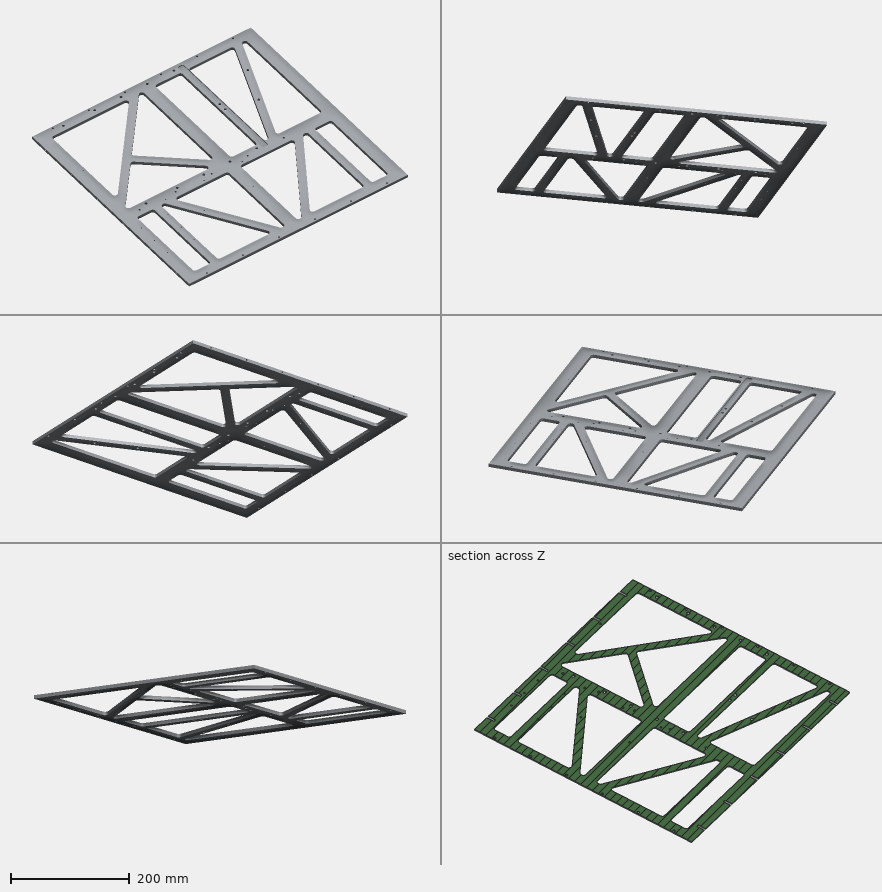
import cadquery as cq
import math

LENGTH_X = 448.0
LENGTH_Y = 455.0
THICKNESS = 6.0
TOP_Z = THICKNESS / 2

SIDE_RAIL = 20.0
END_RAIL = 25.0
SPINE_WIDTH = 25.0
SPINE_X = 27.0
CROSS_RAIL = 25.0
BAR_WIDTH = 15.0
WINDOW_FILLET = 5.0

BAY_LEFT = -LENGTH_X / 2 + SIDE_RAIL
BAY_RIGHT = LENGTH_X / 2 - SIDE_RAIL
BAY_TOP = LENGTH_Y / 2 - END_RAIL
BAY_BOTTOM = -BAY_TOP
SPINE_LEFT = SPINE_X - SPINE_WIDTH / 2
SPINE_RIGHT = SPINE_X + SPINE_WIDTH / 2
CROSS_EDGE = CROSS_RAIL / 2

SLIT_HEIGHT = 35.0
SLIT_EDGE = BAY_TOP - SLIT_HEIGHT
RIGHT_BAY_EDGE = SLIT_EDGE - BAR_WIDTH

GROOVED_BAR_TOP = 82.5
GROOVED_BAR_BOTTOM = GROOVED_BAR_TOP - BAR_WIDTH

STRUT_END_GAP = 8.5
LOWER_STRUT_SLOPE = 0.865
LOWER_STRUT_START_Y = -29.8

GROOVE_LEFT = -218.0
GROOVE_RIGHT = 26.0
GROOVE_TOP = 82.0
GROOVE_WIDTH = 12.0
GROOVE_DEPTH = 2.0
GROOVE_FILLET = 3.0

RAIL_HOLE_DIAMETER = 3.6
RAIL_HOLE_PITCH = 75.0
RAIL_HOLE_COUNT = 6
RAIL_HOLE_INSET = 4.0
SPINE_RAIL_HOLE_X = 27.5

MOUNT_HOLE_DIAMETER = 4.8
MOUNT_HOLE_XS = (-214.5, 21.5)
MOUNT_HOLE_YS = (60.5, 5.0, -49.5, -104.5, -169.5)
STRUT_HOLES = ((-73.0, 133.7), (-142.5, 161.7))
GROOVE_HOLE_XS = (-104.2, -88.5)
GROOVE_HOLE_Y = 75.6

SMALL_HOLE_DIAMETER = 2.5
SMALL_HOLES = ((93.5, 1.0), (93.5, -101.0), (33.5, 22.0), (33.5, -57.5), (33.5, -137.5))

PIN_HOLE_DIAMETER = 2.05
PIN_HOLE_XS = (65.5, 103.5, 140.5)
PIN_HOLE_YS = (-156.0, -211.5)
LONE_PIN_HOLE = (-106.0, -207.7)

EDGE_HOLE_DIAMETER = 3.3
EDGE_HOLE_DEPTH = 15.0
EDGE_HOLE_COUNT = 6
EDGE_HOLE_PITCH = LENGTH_X / EDGE_HOLE_COUNT


def spread(count, pitch):
    """Positions of evenly pitched features centred on zero."""
    return [(i - (count - 1) / 2) * pitch for i in range(count)]


def block(left, right, bottom, top):
    """Full-thickness rectangular block."""
    return (
        cq.Workplane("XY")
        .box(right - left, top - bottom, THICKNESS)
        .translate(((left + right) / 2, (bottom + top) / 2, 0))
    )


def strut(start, end):
    """Full-thickness diagonal bar centred on the line from start to end, overrunning both ends."""
    dx = end[0] - start[0]
    dy = end[1] - start[1]
    return (
        cq.Workplane("XY")
        .box(math.hypot(dx, dy) + 4 * BAR_WIDTH, BAR_WIDTH, THICKNESS)
        .rotate((0, 0, 0), (0, 0, 1), math.degrees(math.atan2(dy, dx)))
        .translate(((start[0] + end[0]) / 2, (start[1] + end[1]) / 2, 0))
    )


def rounded(windows):
    """Windows with their upright corners filleted."""
    return windows.edges("|Z").fillet(WINDOW_FILLET)


def corner_strut(left, right, bottom, top):
    """Falling diagonal leaving the same small gap at the top left and bottom right of a bay."""
    run = right - left
    drop = top - bottom - 2 * STRUT_END_GAP
    angle = math.acos(BAR_WIDTH / math.hypot(run, drop)) - math.atan2(run, drop)
    half = BAR_WIDTH / 2 / math.cos(angle)
    return strut((left, top - STRUT_END_GAP - half), (right, bottom + STRUT_END_GAP + half))


def upper_left_windows():
    """Two windows either side of a diagonal, and a plain one below the grooved bar."""
    limits = (BAY_LEFT, SPINE_LEFT, GROOVED_BAR_TOP, BAY_TOP)
    split = block(*limits).cut(corner_strut(*limits))
    plain = block(BAY_LEFT, SPINE_LEFT, CROSS_EDGE, GROOVED_BAR_BOTTOM)
    return rounded(split).union(rounded(plain))


def lower_left_windows():
    """Three windows around a diagonal and a branch square to it from the bay's upper right corner."""
    start = (BAY_LEFT, LOWER_STRUT_START_Y)
    end_x = BAY_LEFT + (LOWER_STRUT_START_Y - BAY_BOTTOM) / LOWER_STRUT_SLOPE
    corner = (SPINE_LEFT, -CROSS_EDGE)
    run = corner[0] - start[0]
    rise = corner[1] - start[1]
    along = (run - LOWER_STRUT_SLOPE * rise) / (1 + LOWER_STRUT_SLOPE**2)
    foot = (start[0] + along, start[1] - LOWER_STRUT_SLOPE * along)
    branch_end = (2 * corner[0] - foot[0], 2 * corner[1] - foot[1])
    shift = 2 * BAR_WIDTH / math.dist(foot, branch_end)
    branch_start = (
        foot[0] + shift * (branch_end[0] - foot[0]),
        foot[1] + shift * (branch_end[1] - foot[1]),
    )
    bay = block(BAY_LEFT, SPINE_LEFT, BAY_BOTTOM, -CROSS_EDGE)
    split = bay.cut(strut(start, (end_x, BAY_BOTTOM)))
    return rounded(split.cut(strut(branch_start, branch_end)))


def right_windows():
    """Slit and diagonally split bay, mirrored about the cross rail."""
    limits = (SPINE_RIGHT, BAY_RIGHT, CROSS_EDGE, RIGHT_BAY_EDGE)
    split = rounded(block(*limits).cut(corner_strut(*limits)))
    slit = rounded(block(SPINE_RIGHT, BAY_RIGHT, SLIT_EDGE, BAY_TOP))
    upper = split.union(slit)
    return upper.union(upper.mirror("XZ"))


def groove():
    """Shallow groove along the top of the grooved bar."""
    return (
        block(GROOVE_LEFT, GROOVE_RIGHT, GROOVE_TOP - GROOVE_WIDTH, GROOVE_TOP)
        .edges("|Z")
        .fillet(GROOVE_FILLET)
        .translate((0, 0, THICKNESS - GROOVE_DEPTH))
    )


def drill(points, diameter):
    """Cylinders through the whole thickness."""
    return (
        cq.Workplane("XY", origin=(0, 0, -TOP_Z))
        .pushPoints(points)
        .circle(diameter / 2)
        .extrude(THICKNESS)
    )


def rail_holes():
    """Rows along both side rails and a shorter row along the spine."""
    ys = spread(RAIL_HOLE_COUNT, RAIL_HOLE_PITCH)
    rail_x = LENGTH_X / 2 - RAIL_HOLE_INSET
    points = [(x, y) for x in (-rail_x, rail_x) for y in ys]
    points += [(SPINE_RAIL_HOLE_X, y) for y in ys[:-1]]
    return drill(points, RAIL_HOLE_DIAMETER)


def mount_holes():
    """Larger holes beside the left bays, in the groove and on the upper left strut."""
    points = [(x, y) for x in MOUNT_HOLE_XS for y in MOUNT_HOLE_YS]
    points += [(x, GROOVE_HOLE_Y) for x in GROOVE_HOLE_XS]
    points += STRUT_HOLES
    return drill(points, MOUNT_HOLE_DIAMETER)


def pin_holes():
    """Smallest holes, in two rows around the lower slit and one on the front rail."""
    points = [(x, y) for x in PIN_HOLE_XS for y in PIN_HOLE_YS]
    points.append(LONE_PIN_HOLE)
    return drill(points, PIN_HOLE_DIAMETER)


def edge_holes():
    """Blind holes into the front edge, repeated in the back edge."""
    front = (
        cq.Workplane("XZ", origin=(0, -LENGTH_Y / 2 + EDGE_HOLE_DEPTH, 0))
        .pushPoints([(x, 0) for x in spread(EDGE_HOLE_COUNT, EDGE_HOLE_PITCH)])
        .circle(EDGE_HOLE_DIAMETER / 2)
        .extrude(EDGE_HOLE_DEPTH)
    )
    return front.union(front.mirror("XZ"))


plate = cq.Workplane("XY").box(LENGTH_X, LENGTH_Y, THICKNESS)
for cutter in (
    upper_left_windows(),
    lower_left_windows(),
    right_windows(),
    groove(),
    rail_holes(),
    mount_holes(),
    drill(SMALL_HOLES, SMALL_HOLE_DIAMETER),
    pin_holes(),
    edge_holes(),
):
    plate = plate.cut(cutter)

result = plate